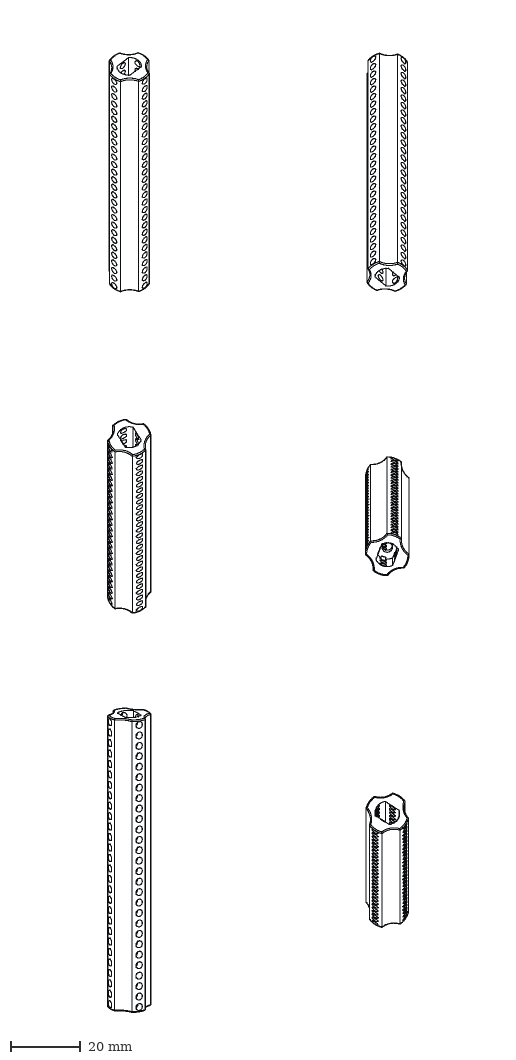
import cadquery as cq
import math

length = 87.5
rod_radius = 12.5 / 2
arm_half_width = 2.2
flute_root_radius = 5.0
end_chamfer = 0.35

bore_diameter = 7.0
bore_across_flats = 5.1

hole_count = 28
hole_diameter = 2.0
hole_pitch = length / hole_count

web_top = 3.5 * hole_pitch
web_thickness = 2.4
web_bottom = web_top - web_thickness
web_core_diameter = 6.0
web_hole_diameter = 3.0


def polar(radius, angle):
    """Point at a distance from the rod axis and an angle in degrees from +X."""
    return (radius * math.cos(math.radians(angle)), radius * math.sin(math.radians(angle)))


def fluted_rod():
    """Solid rod with a concave flute between each pair of neighbouring arms."""
    half_arm_angle = math.degrees(math.asin(arm_half_width / rod_radius))
    outline = cq.Workplane("XY").moveTo(*polar(rod_radius, -half_arm_angle))
    for arm_angle in (0, 90, 180, 270):
        arm_end = polar(rod_radius, arm_angle + half_arm_angle)
        next_arm_start = polar(rod_radius, arm_angle + 90 - half_arm_angle)
        outline = outline.threePointArc(polar(rod_radius, arm_angle), arm_end)
        outline = outline.threePointArc(polar(flute_root_radius, arm_angle + 45), next_arm_start)
    rod = outline.close().extrude(length)
    return rod.faces("<Z or >Z").edges().chamfer(end_chamfer)


def double_d(bottom, top):
    """Round plug with two flats, facing +X and -X."""
    plane = cq.Workplane("XY").workplane(offset=bottom)
    round_plug = plane.circle(bore_diameter / 2).extrude(top - bottom)
    flat_plug = plane.rect(bore_across_flats, bore_diameter).extrude(top - bottom)
    return round_plug.intersect(flat_plug)


def web_core():
    """Round middle of the web, which the cross holes do not enter."""
    plane = cq.Workplane("XY").workplane(offset=web_bottom)
    return plane.circle(web_core_diameter / 2).extrude(web_thickness)


def cross_hole_row(plane):
    """Row of evenly pitched holes through the rod, interrupted by the web core."""
    centres = [(0, (i + 0.5) * hole_pitch) for i in range(hole_count)]
    drills = cq.Workplane(plane).pushPoints(centres).circle(hole_diameter / 2)
    return drills.extrude(rod_radius, both=True).cut(web_core())


result = fluted_rod()
result = result.cut(double_d(0, web_bottom))
result = result.cut(double_d(web_top, length))

for hole_plane in ("XZ", "YZ"):
    result = result.cut(cross_hole_row(hole_plane))

web_hole = cq.Workplane("XY").circle(web_hole_diameter / 2).extrude(length)
result = result.cut(web_hole)